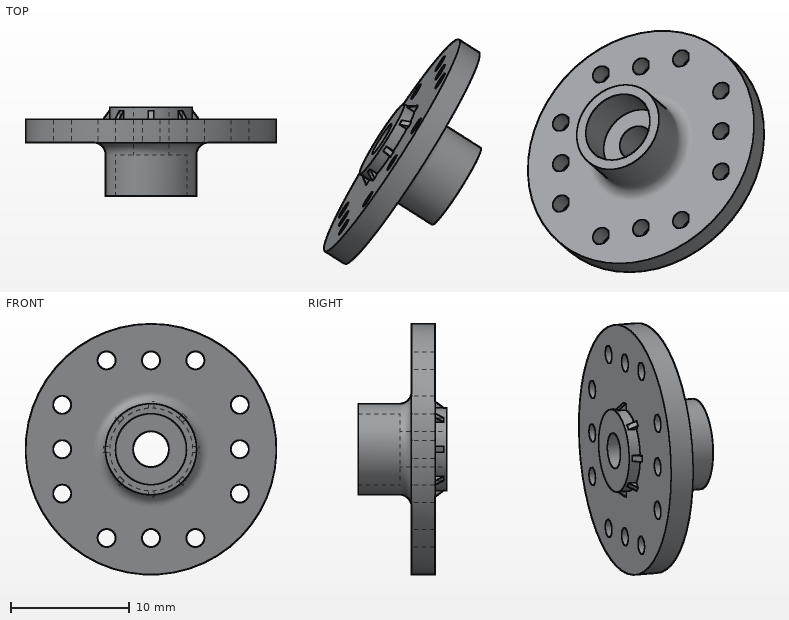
import cadquery as cq
import math

flange_diameter = 21.2
flange_thickness = 2.0

hub_diameter = 7.7
hub_length = 4.5
hub_fillet = 1.0
socket_diameter = 6.0
socket_depth = 3.5
shaft_hole_diameter = 3.0

boss_diameter = 7.0
boss_height = 1.0
rib_count = 8
rib_width = 0.5
rib_height = 0.72
rib_reach = 0.53

mount_hole_diameter = 1.5
mount_hole_offset = 7.5
mount_hole_pitch = 3.75

flange_back = flange_thickness
boss_back = flange_back + boss_height
hub_front = -hub_length


def cylinder(diameter, y_start, y_end, x=0, z=0):
    """Cylinder along Y between two Y positions."""
    axis_start = cq.Vector(x, y_start, z)
    solid = cq.Solid.makeCylinder(diameter / 2, y_end - y_start, axis_start, cq.Vector(0, 1, 0))
    return cq.Workplane(obj=solid)


def make_hub():
    """Hub with its concave root fillet, revolved about Y."""
    radius = hub_diameter / 2
    diagonal = hub_fillet * (1 - math.sqrt(0.5))
    return (
        cq.Workplane("XY")
        .moveTo(0, hub_front)
        .lineTo(radius, hub_front)
        .lineTo(radius, -hub_fillet)
        .threePointArc((radius + diagonal, -diagonal), (radius + hub_fillet, 0))
        .lineTo(radius + hub_fillet, flange_back)
        .lineTo(0, flange_back)
        .close()
        .revolve(360, (0, 0, 0), (0, 1, 0))
    )


def make_rib(angle):
    """Rib with a sloped outer edge, leaning on the boss at the given angle about Y."""
    boss_radius = boss_diameter / 2
    root_radius = (boss_radius + shaft_hole_diameter / 2) / 2
    return (
        cq.Workplane("XY")
        .moveTo(root_radius, flange_back)
        .lineTo(boss_radius + rib_reach, flange_back)
        .lineTo(boss_radius, flange_back + rib_height)
        .lineTo(root_radius, flange_back + rib_height)
        .close()
        .extrude(rib_width / 2, both=True)
        .rotate((0, 0, 0), (0, 1, 0), angle)
    )


def mount_hole_positions():
    """(x, z) centres of the holes on the four sides of the square."""
    along_side = (-mount_hole_pitch, 0, mount_hole_pitch)
    positions = []
    for side in (-mount_hole_offset, mount_hole_offset):
        for along in along_side:
            positions.append((along, side))
            positions.append((side, along))
    return positions


body = cylinder(flange_diameter, 0, flange_back)
body = body.union(make_hub())
body = body.union(cylinder(boss_diameter, flange_back, boss_back))
for index in range(rib_count):
    body = body.union(make_rib(index * 360 / rib_count))

body = body.cut(cylinder(shaft_hole_diameter, hub_front, boss_back))
body = body.cut(cylinder(socket_diameter, hub_front, hub_front + socket_depth))
for hole_x, hole_z in mount_hole_positions():
    body = body.cut(cylinder(mount_hole_diameter, 0, flange_back, hole_x, hole_z))

result = body